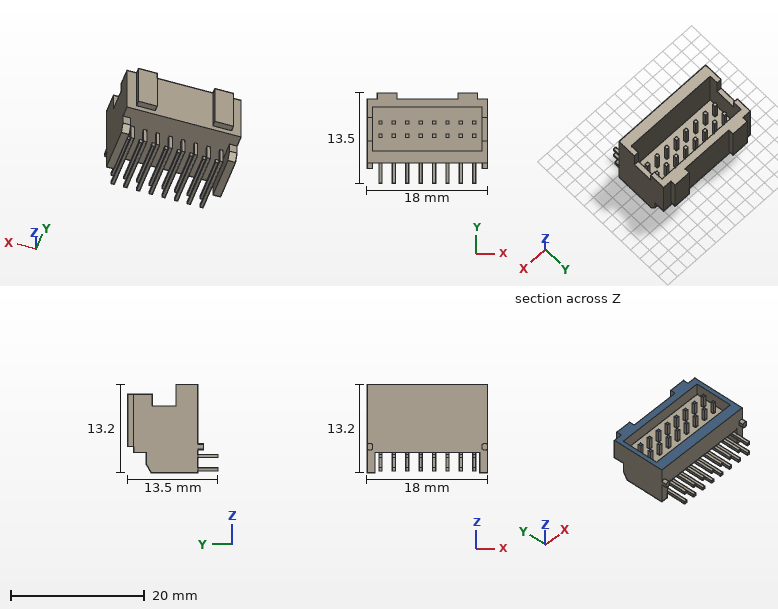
import cadquery as cq

WIDTH = 18.0
DEPTH = 9.6
FRONT_HEIGHT = 13.2
REAR_HEIGHT = 11.74

NOTCH_FRONT = 3.31
NOTCH_REAR = 6.8
NOTCH_FLOOR = 10.0

BASE_HEIGHT = 3.0
LEG_THICKNESS = 1.2
LEG_DEPTH = 7.75
LEG_SLOPE_DEPTH = 0.75
LEG_SLOPE_HEIGHT = 1.33

FLOOR_THICKNESS = 1.5
END_WALL = 0.81
CAVITY_FRONT = 1.8
CAVITY_REAR = 8.4

RAIL_WIDTH = 2.95
RAIL_DEPTH = 0.9
RAIL_CENTRE_X = 6.01
RAIL_BOTTOM = 3.9

PEG_DIAMETER = 1.0
PEG_FLAT_WIDTH = END_WALL
PEG_LENGTH = 0.83
PEG_Z = 3.89

PIN_SIZE = 0.5
PIN_COLUMNS = 8
PIN_PITCH = WIDTH / (PIN_COLUMNS + 1)
PIN_REACH = 3.0
PIN_TOP = 8.28
FRONT_ROW_Y = 4.07
LOWER_TAIL_Z = 0.5


def box(x_range, y_range, z_range):
    """Make a box from its (low, high) limits along each axis."""
    lows, highs = zip(x_range, y_range, z_range)
    sizes = [high - low for low, high in zip(lows, highs)]
    return cq.Workplane("XY").box(*sizes, centered=False).translate(lows)


def around(centre, size):
    """Give the limits of a span centred on a position."""
    return (centre - size / 2, centre + size / 2)


def make_housing():
    """Extrude the end profile, then open the cavity and the underside."""
    profile = [
        (0, 0),
        (LEG_DEPTH - LEG_SLOPE_DEPTH, 0),
        (LEG_DEPTH, LEG_SLOPE_HEIGHT),
        (LEG_DEPTH, BASE_HEIGHT),
        (DEPTH, BASE_HEIGHT),
        (DEPTH, REAR_HEIGHT),
        (NOTCH_REAR, REAR_HEIGHT),
        (NOTCH_REAR, NOTCH_FLOOR),
        (NOTCH_FRONT, NOTCH_FLOOR),
        (NOTCH_FRONT, FRONT_HEIGHT),
        (0, FRONT_HEIGHT),
    ]
    body = cq.Workplane("YZ").polyline(profile).close().extrude(WIDTH / 2, both=True)
    cavity = box(
        around(0, WIDTH - 2 * END_WALL),
        (CAVITY_FRONT, CAVITY_REAR),
        (BASE_HEIGHT + FLOOR_THICKNESS, FRONT_HEIGHT),
    )
    underside = box(around(0, WIDTH - 2 * LEG_THICKNESS), (0, DEPTH), (0, BASE_HEIGHT))
    return body.cut(cavity).cut(underside)


def make_rail(x):
    """Make a rear rail that ends flush with the rear wall top."""
    return box(around(x, RAIL_WIDTH), (DEPTH, DEPTH + RAIL_DEPTH), (RAIL_BOTTOM, REAR_HEIGHT))


def make_peg(x):
    """Make a peg on the front face with vertical flats on both sides."""
    peg = cq.Workplane("XZ").center(x, PEG_Z).circle(PEG_DIAMETER / 2).extrude(PEG_LENGTH)
    flats = box(around(x, PEG_FLAT_WIDTH), (-PEG_LENGTH, 0), around(PEG_Z, PEG_DIAMETER))
    return peg.intersect(flats)


def make_contact(x, y, tail_z):
    """Make an upright pin whose lower end turns forward into a tail."""
    across = around(x, PIN_SIZE)
    upright_y = around(y, PIN_SIZE)
    tail_height = around(tail_z, PIN_SIZE)
    upright = box(across, upright_y, (tail_height[0], PIN_TOP))
    tail = box(across, (-PIN_REACH, upright_y[1]), tail_height)
    return upright.union(tail)


result = make_housing()

peg_x = (WIDTH - PEG_FLAT_WIDTH) / 2
for side in (-1, 1):
    result = result.union(make_rail(side * RAIL_CENTRE_X))
    result = result.union(make_peg(side * peg_x))

for column in range(PIN_COLUMNS):
    pin_x = (column - (PIN_COLUMNS - 1) / 2) * PIN_PITCH
    result = result.union(make_contact(pin_x, FRONT_ROW_Y, LOWER_TAIL_Z + PIN_PITCH))
    result = result.union(make_contact(pin_x, FRONT_ROW_Y + PIN_PITCH, LOWER_TAIL_Z))